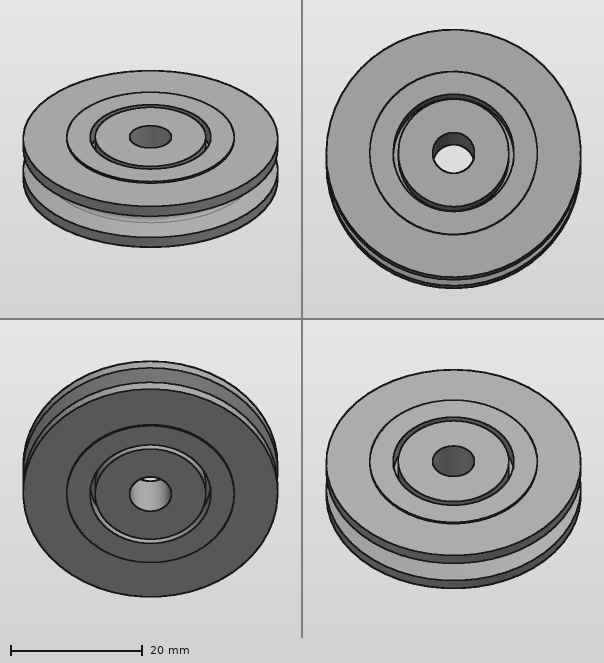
import cadquery as cq
import math

wheel_radius = 19.3
wheel_width = 7.35
groove_root_radius = 15.8
groove_round = 1.05
groove_flank_angle = math.radians(18)

bearing_radius = 12.7
bearing_width = 7.9
bore_radius = 3.15
recess_inner_radius = 8.38
recess_outer_radius = 9.15
recess_depth = 2.8


def ring(outer_radius, inner_radius, width):
    """Flat ring around Z, centred on the middle plane."""
    return (
        cq.Workplane("XY")
        .workplane(offset=-width / 2)
        .circle(outer_radius)
        .circle(inner_radius)
        .extrude(width)
    )


def rope_groove():
    """Revolved V groove whose flanks run tangent into a round bottom."""
    round_centre = groove_root_radius + groove_round
    tangent_radius = round_centre - groove_round * math.sin(groove_flank_angle)
    tangent_height = groove_round * math.cos(groove_flank_angle)
    flank_run = wheel_radius - tangent_radius
    mouth_height = tangent_height + flank_run * math.tan(groove_flank_angle)
    return (
        cq.Workplane("XZ")
        .moveTo(wheel_radius, -mouth_height)
        .lineTo(tangent_radius, -tangent_height)
        .threePointArc((groove_root_radius, 0), (tangent_radius, tangent_height))
        .lineTo(wheel_radius, mouth_height)
        .close()
        .revolve(360, (0, 0, 0), (0, 1, 0))
    )


def make_wheel():
    """Grooved wheel with a plain seat for the bearing."""
    return ring(wheel_radius, bearing_radius, wheel_width).cut(rope_groove())


def make_bearing():
    """Bearing with a ring-shaped recess between its races on both faces."""
    bearing = ring(bearing_radius, bore_radius, bearing_width)
    recess = ring(recess_outer_radius, recess_inner_radius, recess_depth)
    recess_height = (bearing_width - recess_depth) / 2
    for side in (-1, 1):
        bearing = bearing.cut(recess.translate((0, 0, side * recess_height)))
    return bearing


wheel = make_wheel()
bearing = make_bearing()
result = cq.Compound.makeCompound([wheel.val(), bearing.val()])